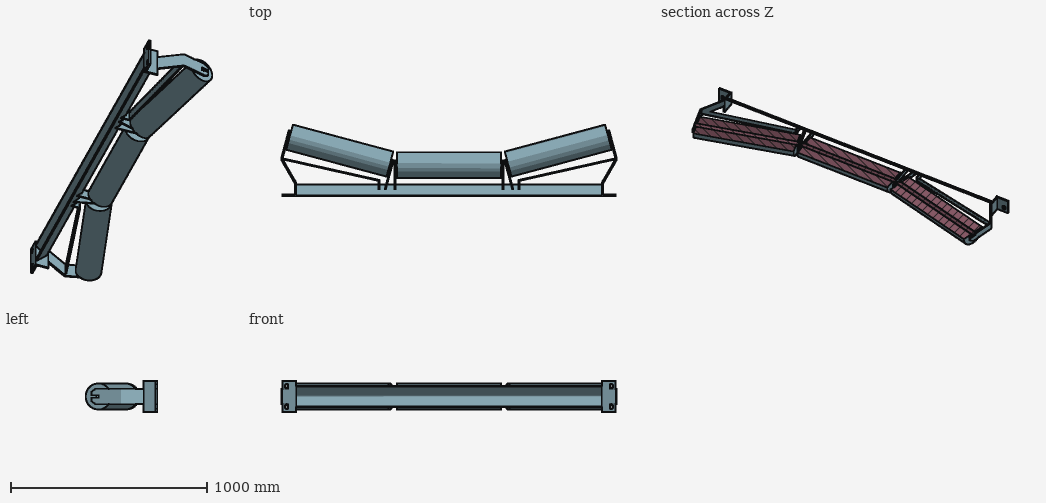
import cadquery as cq
import math


overall_length = 1713.0
trough_angle = 15.0
axis_height = 160.0
pivot_x = 281.0

roller_diameter = 134.0
roller_length = 531.0
shaft_diameter = 20.0
shaft_flat = 14.0

leg_length = 79.0
leg_thickness = 8.0
root_radius = 10.0

plate_thickness = 8.0
foot_thickness = 10.0
foot_width = 160.0
foot_height = 72.0
foot_tip_x = 850.0
upright_x = 788.0
knee_height = 192.0
knee_radius = 17.0
strap_lean = 30.0
strap_width = 77.0
strap_top = 337.0
strap_taper_width = 15.0
strap_taper_height = 20.0
end_gap = 5.0

bolt_slot_width = 17.0
bolt_slot_length = 24.0
bolt_spacing = 103.0
bolt_x = 827.0

bar_thickness = 6.0
bar_width = 51.0
post_gap = 7.0
post_above_axis = 24.0
strut_foot_x = 360.0
strut_bend_height = 79.0
strut_end_height = 188.0

tilt = math.radians(trough_angle)
lean = math.radians(strap_lean)
beam_top = (leg_length + leg_thickness) / math.sqrt(2)
knee_centre = (overall_length / 2 - knee_radius, knee_height)
plate_outer = (
    (knee_centre[0] - pivot_x) * math.cos(tilt)
    + (knee_centre[1] - axis_height) * math.sin(tilt)
    + knee_radius
)
wing_outer = plate_outer - plate_thickness - end_gap
wing_inner = wing_outer - roller_length
wing_post_start = wing_inner - post_gap - bar_thickness
centre_post_start = roller_length / 2 + post_gap
beam_half_length = upright_x - plate_thickness
knee_inner_x = overall_length / 2 - plate_thickness


def on_wing(shape):
    """Move a shape built along +X from the origin onto the wing axis."""
    return shape.rotate((0, 0, 0), (0, 0, 1), trough_angle).translate((pivot_x, axis_height, 0))


def mirrored(shape):
    """The matching shape on the other side of X = 0."""
    return shape.mirror("YZ")


def block(x_start, x_end, y_start, y_end, width):
    """A box between two X and two Y positions, centred on Z."""
    return (
        cq.Workplane("XY", origin=(x_start, y_start, 0))
        .box(x_end - x_start, y_end - y_start, width, centered=(False, False, True))
    )


def bent_strip(path, thickness):
    """Outline of a strip with mitred bends; the path is its right-hand face, the strip lies to the left."""
    normals = []
    for (x0, y0), (x1, y1) in zip(path, path[1:]):
        length = math.hypot(x1 - x0, y1 - y0)
        normals.append((-(y1 - y0) / length, (x1 - x0) / length))
    far_face = []
    for (x, y), (ax, ay), (bx, by) in zip(path, normals[:1] + normals, normals + normals[-1:]):
        reach = thickness / (1 + ax * bx + ay * by)
        far_face.append((x + reach * (ax + bx), y + reach * (ay + by)))
    return path + far_face[::-1]


def make_roller(x_start):
    return (
        cq.Workplane("YZ", origin=(x_start, 0, 0))
        .circle(roller_diameter / 2)
        .circle(shaft_diameter / 2)
        .extrude(roller_length)
    )


def make_shaft(x_start, x_end, inner_seat, outer_seat):
    """Round shaft with a square end as long as each seat, inner_seat at x_start and outer_seat at x_end."""
    square_bar = block(x_start, x_end, -shaft_flat / 2, shaft_flat / 2, shaft_flat)
    round_bar = (
        cq.Workplane("YZ", origin=(x_start + inner_seat, 0, 0))
        .circle(shaft_diameter / 2)
        .extrude(x_end - x_start - inner_seat - outer_seat)
    )
    return square_bar.union(round_bar)


def shaft_slot(x_start, x_end):
    """Open-topped slot that holds a square shaft end."""
    return block(x_start, x_end, -shaft_flat / 2, roller_diameter, shaft_flat)


def make_angle_iron():
    profile = [
        (0, 0),
        (leg_length, 0),
        (leg_length, leg_thickness),
        (leg_thickness, leg_thickness),
        (leg_thickness, leg_length),
        (0, leg_length),
    ]
    iron = cq.Workplane("YZ").polyline(profile).close().extrude(beam_half_length, both=True)
    root = cq.selectors.NearestToPointSelector((0, leg_thickness, leg_thickness))
    iron = iron.edges("|X").edges(root).fillet(root_radius)
    return iron.rotate((0, 0, 0), (1, 0, 0), 135).translate((0, beam_top, 0))


def beam_wedge():
    """Everything below the two upper faces of the beam."""
    return (
        cq.Workplane("YZ")
        .polyline([(beam_top, 0), (-beam_top, 2 * beam_top), (-beam_top, -2 * beam_top)])
        .close()
        .extrude(beam_half_length, both=True)
    )


def make_post(x_start):
    """Flat post square to a roller axis along X, slotted for the shaft."""
    x_end = x_start + bar_thickness
    post = block(x_start, x_end, -axis_height, post_above_axis, bar_width)
    return post.cut(shaft_slot(x_start, x_end))


def make_strut():
    """Bent bar from the knee of the end plate down to the beam."""
    knee_end = (knee_inner_x, strut_end_height)
    path = [(strut_foot_x, 0), (strut_foot_x, strut_bend_height), knee_end]
    outline = bent_strip(path, bar_thickness)
    strut = cq.Workplane("XY").polyline(outline).close().extrude(bar_width / 2, both=True)
    return strut.cut(make_end_plate())


def make_beam():
    """Angle iron with the posts and struts of both sides welded on."""
    centre_post = make_post(centre_post_start).translate((0, axis_height, 0))
    wing_post = on_wing(make_post(wing_post_start))
    beam = make_angle_iron()
    for bar in (centre_post, wing_post, make_strut()):
        notched_bar = bar.cut(beam_wedge())
        beam = beam.union(notched_bar).union(mirrored(notched_bar))
    return beam


def plate_blank():
    """Full-width bent plate: foot, upright, leaning strap and end run square to the wing axis."""
    knee_reach = knee_radius / math.cos((tilt + lean) / 2)
    knee_direction = (tilt - lean) / 2
    knee_x = knee_centre[0] + knee_reach * math.cos(knee_direction)
    knee_y = knee_centre[1] + knee_reach * math.sin(knee_direction)
    bend_y = knee_y - (knee_x - upright_x) / math.tan(lean)
    outer_face = [
        (upright_x, 0),
        (upright_x, bend_y),
        (knee_x, knee_y),
        (knee_x - (strap_top - knee_y) * math.tan(tilt), strap_top),
    ]
    outline = bent_strip(outer_face, plate_thickness)
    upright = cq.Workplane("XY").polyline(outline).close().extrude(foot_width / 2, both=True)
    blank = upright.union(block(beam_half_length, foot_tip_x, 0, foot_thickness, foot_width))

    knee_outside = cq.selectors.NearestToPointSelector((knee_x, knee_y, 0))
    knee_inside = cq.selectors.NearestToPointSelector((knee_x - plate_thickness, knee_y, 0))
    blank = blank.edges("|Z").edges(knee_outside).fillet(knee_radius)
    return blank.edges("|Z").edges(knee_inside).fillet(knee_radius - plate_thickness)


def plate_front():
    """Stepped outline of the end plate, wide at the foot and tapered at the top, filled along X."""
    taper_y = strap_top - strap_taper_height
    top_half = strap_width / 2 - strap_taper_width
    half_outline = [
        (0, foot_width / 2),
        (foot_height, foot_width / 2),
        (foot_height, strap_width / 2),
        (taper_y, strap_width / 2),
        (strap_top, top_half),
    ]
    other_half = [(y, -z) for y, z in reversed(half_outline)]
    return cq.Workplane("YZ").polyline(half_outline + other_half).close().extrude(overall_length)


def make_end_plate():
    plate = plate_blank().intersect(plate_front())
    bolt_slots = (
        cq.Workplane("XZ", origin=(bolt_x, 0, 0))
        .pushPoints([(0, -bolt_spacing / 2), (0, bolt_spacing / 2)])
        .slot2D(bolt_slot_length, bolt_slot_width, 90)
        .extrude(-foot_thickness)
    )
    seat = on_wing(shaft_slot(wing_outer, plate_outer + plate_thickness))
    return plate.cut(bolt_slots).cut(seat)


beam = make_beam()
end_plate = make_end_plate()
wing_roller = on_wing(make_roller(wing_inner))
wing_shaft = on_wing(make_shaft(wing_post_start, plate_outer, bar_thickness, plate_thickness))
centre_roller = make_roller(-roller_length / 2).translate((0, axis_height, 0))
centre_shaft_end = centre_post_start + bar_thickness
centre_shaft = make_shaft(-centre_shaft_end, centre_shaft_end, bar_thickness, bar_thickness)
centre_shaft = centre_shaft.translate((0, axis_height, 0))

bodies = [beam.solids().val(), centre_roller.solids().val(), centre_shaft.solids().val()]
for side_part in (end_plate, wing_roller, wing_shaft):
    bodies.append(side_part.solids().val())
    bodies.append(mirrored(side_part).solids().val())

result = cq.Compound.makeCompound(bodies)